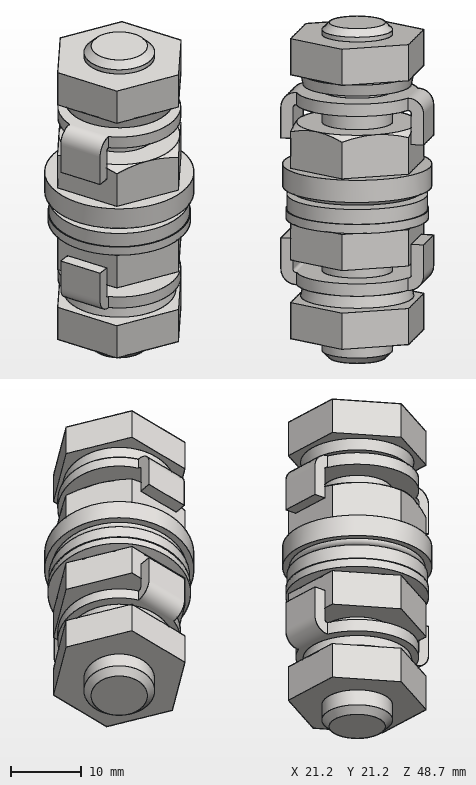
import cadquery as cq
import math


stud_length = 48.7
stud_radius = 5.0
stud_chamfer = 1.0

across_flats = 17.15
across_corners = across_flats / math.cos(math.pi / 6)
nut_height = 5.25
lower_nut_z = 3.35
middle_nut_z = 14.8
upper_nut_z = 41.75

flange_diameter = 21.2
flange_radius = flange_diameter / 2
flange_bottom_z = 24.95
flange_top_z = 28.15
flange_hex_top_z = 34.25
hex_chamfer_angle = math.radians(30)
shoulder_radius = 9.65
shoulder_height = 0.8
shoulder_bottom_z = flange_bottom_z - shoulder_height

collar_radius = 10.0
collar_top_z = 23.75
ring_radius = 10.15
ring_top_z = 21.6
ring_bottom_z = 20.3
ring_foot_radius = 8.75
neck_radius = 7.05

cone_wide_radius = 8.05
cone_narrow_radius = 7.7
cone_edge_height = 1.65
cone_rise = 0.35

tab_thickness = 1.8
tab_disc_radius = 8.7
tab_width = 6.57
tab_height = 6.7
tab_bend_radius = 2.25
tab_inner_bend_radius = tab_bend_radius - tab_thickness
tab_inner_reach = across_flats / 2
tab_outer_reach = tab_inner_reach + tab_thickness
upper_tab_washer_top_z = 38.8
lower_tab_washer_bottom_z = 10.85


def cylinder(radius, bottom_z, top_z):
    return cq.Workplane("XY", origin=(0, 0, bottom_z)).circle(radius).extrude(top_z - bottom_z)


def hexagon(bottom_z, top_z):
    return (
        cq.Workplane("XY", origin=(0, 0, bottom_z))
        .polygon(6, across_corners)
        .extrude(top_z - bottom_z)
    )


def turned(points):
    """Solid of revolution about Z from (radius, z) points."""
    return cq.Workplane("XZ").polyline(points).close().revolve(360, (0, 0), (0, 1))


def stud():
    return cylinder(stud_radius, 0, stud_length).faces("<Z or >Z").chamfer(stud_chamfer)


def flanged_hexagon():
    """Hexagon with 30 degree chamfered top corners, on a round flange."""
    top_radius = across_flats / 2
    corner_radius = across_corners / 2
    corner_z = flange_hex_top_z - (corner_radius - top_radius) * math.tan(hex_chamfer_angle)
    chamfer_cone = turned([
        (0, flange_top_z),
        (corner_radius, flange_top_z),
        (corner_radius, corner_z),
        (top_radius, flange_hex_top_z),
        (0, flange_hex_top_z),
    ])
    chamfered_hexagon = hexagon(flange_top_z, flange_hex_top_z).intersect(chamfer_cone)
    return cylinder(flange_radius, flange_bottom_z, flange_top_z).union(chamfered_hexagon)


def shoulder():
    """Disc whose lower edge is rounded over its full height."""
    flat_radius = shoulder_radius - shoulder_height
    arc_offset = shoulder_height * math.sqrt(0.5)
    arc_middle = (flat_radius + arc_offset, flange_bottom_z - arc_offset)
    return (
        cq.Workplane("XZ")
        .moveTo(0, flange_bottom_z)
        .lineTo(shoulder_radius, flange_bottom_z)
        .threePointArc(arc_middle, (flat_radius, shoulder_bottom_z))
        .lineTo(0, shoulder_bottom_z)
        .close()
        .revolve(360, (0, 0), (0, 1))
    )


def neck():
    """Double-D neck with flats as far apart as the stud is wide."""
    flats = cq.Workplane("XY").box(2 * neck_radius, 2 * stud_radius, 2 * stud_length)
    return cylinder(neck_radius, collar_top_z, shoulder_bottom_z).intersect(flats)


def collar():
    """Collar on a slightly wider ring that tapers down to the middle nut."""
    nut_top_z = middle_nut_z + nut_height
    return turned([
        (0, nut_top_z),
        (ring_foot_radius, nut_top_z),
        (ring_radius, ring_bottom_z),
        (ring_radius, ring_top_z),
        (collar_radius, ring_top_z),
        (collar_radius, collar_top_z),
        (0, collar_top_z),
    ])


def conical_washer(nut_face_z, away):
    """Dished washer against a nut face; away is +1 above the nut, -1 below it."""
    wide_z = nut_face_z + away * cone_rise
    narrow_z = wide_z + away * cone_edge_height
    return turned([
        (stud_radius, nut_face_z),
        (cone_wide_radius, wide_z),
        (cone_narrow_radius, narrow_z),
        (stud_radius, narrow_z - away * cone_rise),
    ])


def stud_body():
    """Stud with everything fixed to it."""
    body = stud()
    for nut_z in (lower_nut_z, middle_nut_z, upper_nut_z):
        body = body.union(hexagon(nut_z, nut_z + nut_height))
    for part in (flanged_hexagon(), shoulder(), neck(), collar()):
        body = body.union(part)
    body = body.union(conical_washer(lower_nut_z + nut_height, 1))
    return body.union(conical_washer(upper_nut_z, -1))


def tab_washer(face_z, tab_direction):
    """Washer with two tabs bent along Z; face_z is the face on the outside of the bends."""
    strap_block = cq.Workplane("XY").box(
        tab_width, 2 * tab_outer_reach, tab_height, centered=(True, True, False)
    )
    opening = (
        cq.Workplane("XY", origin=(0, 0, tab_thickness))
        .box(tab_width, 2 * tab_inner_reach, tab_height, centered=(True, True, False))
        .edges("|X and <Z")
        .fillet(tab_inner_bend_radius)
    )
    strap = strap_block.edges("|X and <Z").fillet(tab_bend_radius).cut(opening)
    disc_sides = cylinder(tab_disc_radius, 0, tab_thickness).cut(strap_block)
    washer = strap.union(disc_sides).cut(cylinder(stud_radius, 0, tab_thickness))
    if tab_direction < 0:
        washer = washer.mirror("XY")
    return washer.translate((0, 0, face_z))


fitted_stud = stud_body()
tab_washers = [
    tab_washer(face_z, tab_direction)
    for face_z, tab_direction in (
        (lower_tab_washer_bottom_z, 1),
        (upper_tab_washer_top_z, -1),
    )
]

result = cq.Compound.makeCompound([fitted_stud.val(), *[washer.val() for washer in tab_washers]])